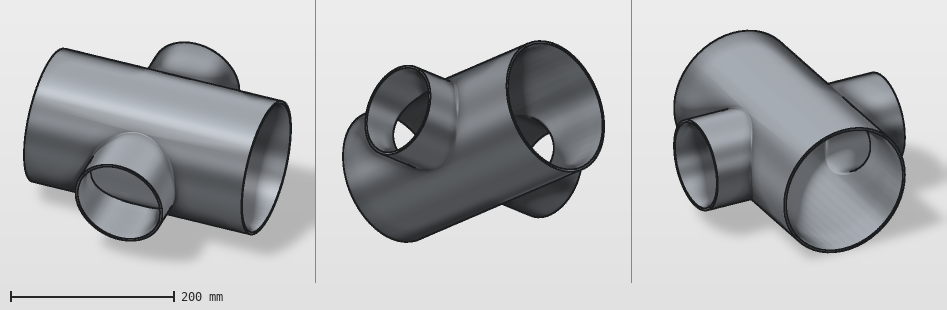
import cadquery as cq

run_length = 286.0
run_outer_diameter = 168.2
run_bore = 162.2

branch_span = 260.0
branch_outer_diameter = 114.5
branch_bore = 108.5

wall = (run_outer_diameter - run_bore) / 2
outer_neck_radius = 3.0
inner_neck_radius = outer_neck_radius + wall


def cross(run_diameter, branch_diameter, neck_radius):
    """Solid of two crossing cylinders, rounded along the seams where they meet."""
    run = cq.Workplane("YZ").circle(run_diameter / 2).extrude(run_length / 2, both=True)
    branches = cq.Workplane("XZ").circle(branch_diameter / 2).extrude(branch_span / 2, both=True)

    reach = run_diameter / 2 + neck_radius
    seam_zone = cq.selectors.BoxSelector((-reach, -reach, -reach), (reach, reach, reach), boundingbox=True)
    return run.union(branches).edges(seam_zone).fillet(neck_radius)


outside = cross(run_outer_diameter, branch_outer_diameter, outer_neck_radius)
inside = cross(run_bore, branch_bore, inner_neck_radius)
result = outside.cut(inside)